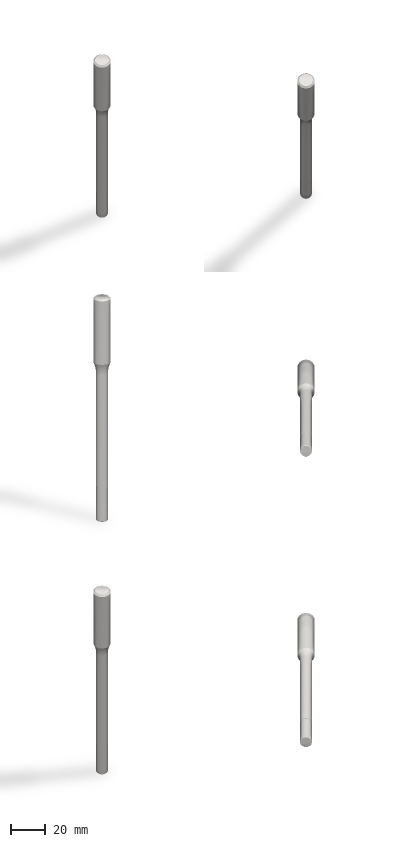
import cadquery as cq
import math

overall_length = 137.0
shank_length = 40.0
cutter_length = 21.1

shank_diameter = 10.0
neck_diameter = 7.0
cutter_diameter = 6.75

shank_chamfer = 1.05
cutter_chamfer = 0.2
blend_radius = 13.5

shank_radius = shank_diameter / 2
neck_radius = neck_diameter / 2
cutter_radius = cutter_diameter / 2

blend_rise = shank_radius - neck_radius
blend_angle = math.acos(1 - blend_rise / blend_radius)
shank_bottom = overall_length - shank_length
neck_top = shank_bottom - blend_radius * math.sin(blend_angle)


def blend_point(angle):
    """Radius and height on the blend arc after turning by the given angle from the neck."""
    radius = neck_radius + blend_radius * (1 - math.cos(angle))
    height = neck_top + blend_radius * math.sin(angle)
    return radius, height


def make_cutter():
    """Cylindrical cutting head with a chamfered tip."""
    head = cq.Workplane("XY").circle(cutter_radius).extrude(cutter_length)
    return head.faces("<Z").chamfer(cutter_chamfer)


def make_holder():
    """Slim neck that flares through an arc into the chamfered shank."""
    profile = (
        cq.Workplane("XZ")
        .moveTo(0, cutter_length)
        .lineTo(neck_radius, cutter_length)
        .lineTo(neck_radius, neck_top)
        .threePointArc(blend_point(blend_angle / 2), (shank_radius, shank_bottom))
        .lineTo(shank_radius, overall_length - shank_chamfer)
        .lineTo(shank_radius - shank_chamfer, overall_length)
        .lineTo(0, overall_length)
        .close()
    )
    return profile.revolve(360, (0, 0, 0), (0, 1, 0))


cutter = make_cutter()
holder = make_holder()

result = cq.Compound.makeCompound([cutter.val(), holder.val()])